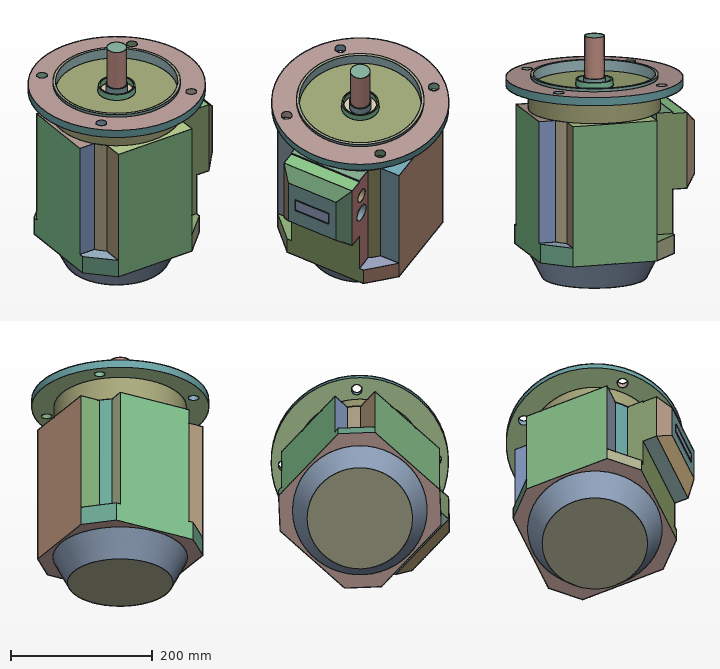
import cadquery as cq


body_bottom = 40.0
channel_bottom = 67.3
body_top = 243.3
flange_bottom = 276.7
flange_top = 288.5
spigot_top = 292.7
shaft_top = 348.5
recess_floor = 277.0

cowl_end_radius = 74.2
cowl_radius = 94.8
neck_radius = 93.5
core_radius = 92.7
flange_diameter = 250.0
flange_radius = flange_diameter / 2
spigot_radius = 90.0
recess_radius = 86.0
shaft_radius = 14.0
shaft_shoulder_radius = 15.5

seal_height = 8.7
seal_base_radius = 27.0
seal_rim_radius = 25.8
seal_bore_radius = 23.7

bolt_circle_radius = 107.5
bolt_hole_diameter = 15.0

body_width = 197.3
side_plate_width = 124.0
front_plate_width = 110.8

box_width = front_plate_width
box_bottom = 131.5
box_top = 241.0
box_lid_start = 119.2
box_back = 136.0
box_lid_bevel = box_back - box_lid_start
box_height = box_top - box_bottom
box_middle_z = (box_top + box_bottom) / 2
label_width = 54.5
label_height = 20.5
label_thickness = 1.22
label_back = box_back + label_thickness

entry_depth = 10.5
entry_y = 92.7
small_entry_z = 208.5
small_entry_diameter = 21.0
large_entry_z = 174.2
large_entry_diameter = 25.5


def cylinder(radius, bottom, top):
    return cq.Workplane("XY").workplane(offset=bottom).circle(radius).extrude(top - bottom)


def cone(bottom_radius, top_radius, bottom, top):
    profile = [(0, bottom), (bottom_radius, bottom), (top_radius, top), (0, top)]
    return cq.Workplane("XZ").polyline(profile).close().revolve(360, (0, 0), (0, 1))


def upright_block(x_size, y_size, bottom, top):
    return cq.Workplane("XY").workplane(offset=bottom).rect(x_size, y_size).extrude(top - bottom)


def make_body():
    corner_chamfer = (body_width - side_plate_width) / 2
    base = upright_block(body_width, body_width, body_bottom, channel_bottom)
    base = base.edges("|Z").chamfer(corner_chamfer)
    side_plates = upright_block(body_width, side_plate_width, channel_bottom, body_top)
    front_plates = upright_block(front_plate_width, body_width, channel_bottom, body_top)
    core = cylinder(core_radius, channel_bottom, body_top)
    neck = cylinder(neck_radius, body_top, flange_bottom)
    return base.union(core).union(side_plates).union(front_plates).union(neck)


def make_flange():
    flange = cylinder(flange_radius, flange_bottom, flange_top)
    flange = flange.union(cylinder(spigot_radius, flange_top, spigot_top))
    flange = flange.cut(cylinder(recess_radius, recess_floor, spigot_top))
    bolt_holes = (
        cq.Workplane("XY")
        .workplane(offset=flange_bottom)
        .polarArray(bolt_circle_radius, 45, 360, 4)
        .circle(bolt_hole_diameter / 2)
        .extrude(flange_top - flange_bottom)
    )
    return flange.cut(bolt_holes)


def make_shaft():
    shaft = cylinder(shaft_shoulder_radius, flange_bottom, flange_top)
    return shaft.union(cylinder(shaft_radius, flange_top, shaft_top))


def make_seal_ring():
    seal_top = recess_floor + seal_height
    ring = cone(seal_base_radius, seal_rim_radius, recess_floor, seal_top)
    return ring.cut(cylinder(seal_bore_radius, recess_floor, seal_top))


def make_terminal_box():
    box = (
        cq.Workplane("XY")
        .box(box_width, box_back, box_height, centered=(True, False, True))
        .faces(">Y")
        .chamfer(box_lid_bevel)
        .translate((0, 0, box_middle_z))
    )
    label = (
        cq.Workplane("XY")
        .box(label_width, label_back, label_height, centered=(True, False, True))
        .translate((0, 0, box_middle_z))
    )
    return box.union(label)


def make_cable_entry(diameter, z):
    return (
        cq.Workplane("YZ")
        .workplane(offset=-box_width / 2)
        .center(entry_y, z)
        .circle(diameter / 2)
        .extrude(entry_depth)
    )


result = (
    make_body()
    .union(cone(cowl_end_radius, cowl_radius, 0, body_bottom))
    .union(make_flange())
    .union(make_seal_ring())
    .union(make_shaft())
    .union(make_terminal_box())
    .cut(make_cable_entry(small_entry_diameter, small_entry_z))
    .cut(make_cable_entry(large_entry_diameter, large_entry_z))
)